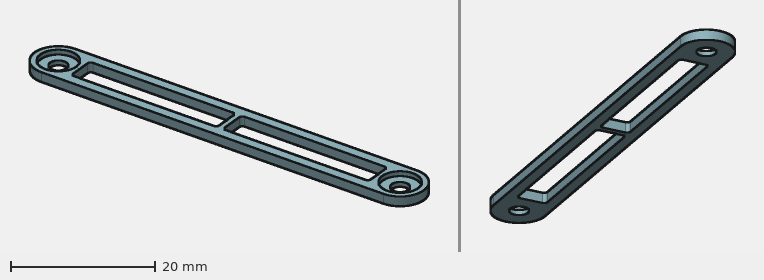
import cadquery as cq

length = 66.0
width = 8.0
thickness = 1.6

hole_diameter = 2.8
counterbore_diameter = 6.0
counterbore_depth = 0.8
hole_spacing = length - width

window_length = 24.75
window_width = 4.5
window_corner_radius = 0.5
rib_thickness = 1.0
window_spacing = window_length + rib_thickness


def mirrored_points(spacing):
    """Two points on the X axis, symmetric about the origin."""
    return [(-spacing / 2, 0), (spacing / 2, 0)]


plate = cq.Workplane("XY").slot2D(length, width).extrude(thickness)

windows = (
    cq.Workplane("XY")
    .pushPoints(mirrored_points(window_spacing))
    .rect(window_length, window_width)
    .extrude(thickness)
    .edges("|Z")
    .fillet(window_corner_radius)
)

result = (
    plate.cut(windows)
    .faces(">Z")
    .workplane(origin=(0, 0, thickness))
    .pushPoints(mirrored_points(hole_spacing))
    .cboreHole(hole_diameter, counterbore_diameter, counterbore_depth)
)